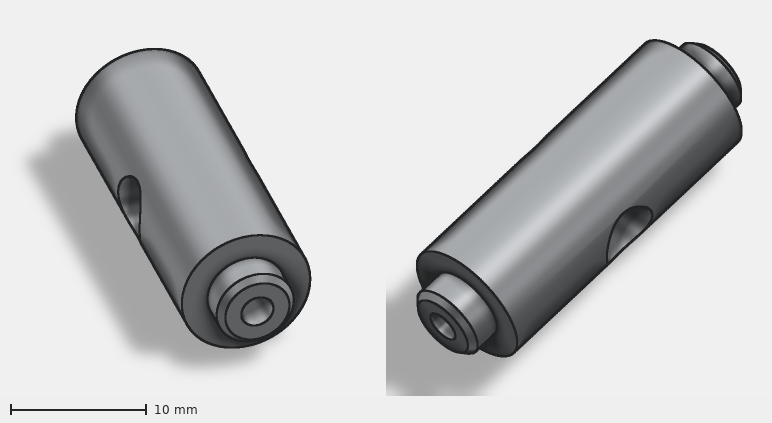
import cadquery as cq
import math

total_length = 30.0
body_length = 24.7
body_diameter = 10.0
journal_diameter = 6.0
journal_chamfer = 0.5

cross_hole_diameter = 5.0

end_hole_diameter = 2.5
end_hole_depth = 6.0
drill_point_angle = 118.0


def cylinder_along_x(diameter, length):
    """Cylinder centred on the origin with its axis along X."""
    return cq.Workplane("YZ").circle(diameter / 2).extrude(length / 2, both=True)


def left_end_hole():
    """Drill-shaped cutter entering the -X end face."""
    radius = end_hole_diameter / 2
    point_length = radius / math.tan(math.radians(drill_point_angle / 2))
    face_x = -total_length / 2
    bottom_x = face_x + end_hole_depth
    return (
        cq.Workplane("XY")
        .moveTo(face_x, 0)
        .lineTo(face_x, radius)
        .lineTo(bottom_x, radius)
        .lineTo(bottom_x + point_length, 0)
        .close()
        .revolve(360, (0, 0, 0), (1, 0, 0))
    )


shaft = cylinder_along_x(journal_diameter, total_length).faces("<X or >X").chamfer(journal_chamfer)
body = cylinder_along_x(body_diameter, body_length)

cross_hole = cq.Workplane("XZ").circle(cross_hole_diameter / 2).extrude(body_diameter, both=True)
end_hole = left_end_hole()

result = body.union(shaft).cut(cross_hole).cut(end_hole).cut(end_hole.mirror("YZ"))